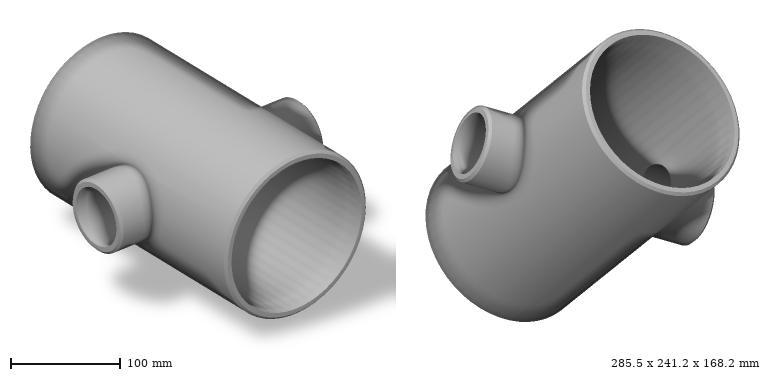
import cadquery as cq

run_length = 285.5
run_outer_diameter = 168.2
run_bore_diameter = 154.2

branch_span = 241.2
branch_outer_diameter = 73.0
branch_bore_diameter = 58.5

bevel = 2.5


def bevelled_bar(profile_plane, diameter, length):
    """Solid round bar centred on the origin along the plane's local Y, with both ends bevelled."""
    radius = diameter / 2
    half_length = length / 2
    end_radius = radius - bevel
    shoulder = half_length - bevel
    return (
        cq.Workplane(profile_plane)
        .moveTo(0, -half_length)
        .lineTo(end_radius, -half_length)
        .lineTo(radius, -shoulder)
        .lineTo(radius, shoulder)
        .lineTo(end_radius, half_length)
        .lineTo(0, half_length)
        .close()
        .revolve(360, (0, 0, 0), (0, 1, 0))
    )


def through_bore(plane, diameter, length):
    """Cylinder centred on the origin that cuts a bore of the given length."""
    return cq.Workplane(plane).circle(diameter / 2).extrude(length / 2, both=True)


run = bevelled_bar("ZX", run_outer_diameter, run_length)
branches = bevelled_bar("XY", branch_outer_diameter, branch_span)

run_bore = through_bore("YZ", run_bore_diameter, run_length)
branch_bore = through_bore("XZ", branch_bore_diameter, branch_span)

result = run.union(branches).cut(run_bore).cut(branch_bore)